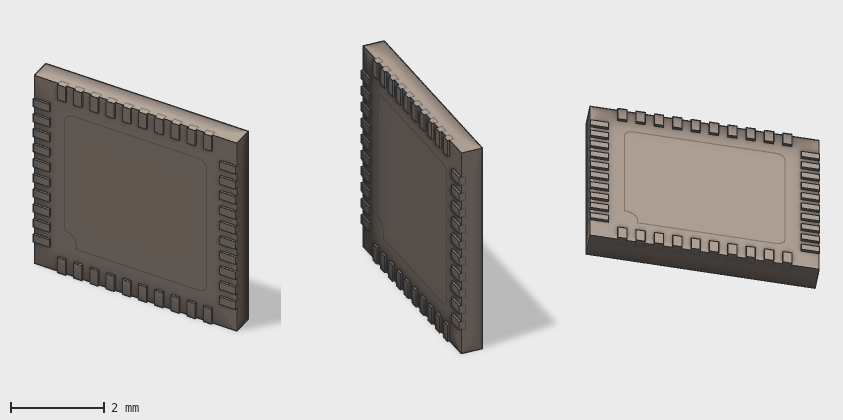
import cadquery as cq

side = 5.0
overall_thickness = 0.55
standoff = 0.05
half_side = side / 2

leads_per_side = 10
lead_pitch = 0.4
lead_width = 0.2
lead_length = 0.4
lead_thickness = 0.15

pad_side = 3.5
pad_corner_radius = 0.2
pad_thickness = 0.1
notch_radius = 0.29
notch_center_rise = 0.1
half_pad = pad_side / 2


def make_body():
    """Plate whose contact face stands back from the lead faces."""
    return cq.Workplane("XY").box(
        side, overall_thickness - standoff, side, centered=(True, False, True)
    ).translate((0, standoff, 0))


def make_lead_row():
    """Row of leads along the -Z side."""
    first_lead_x = -(leads_per_side - 1) * lead_pitch / 2
    centers = [
        (first_lead_x + index * lead_pitch, 0, -half_side + lead_length / 2)
        for index in range(leads_per_side)
    ]
    lead = cq.Workplane("XY").box(
        lead_width, lead_thickness, lead_length, centered=(True, False, True)
    )
    row = cq.Workplane("XY")
    for center in centers:
        row = row.add(lead.translate(center))
    return row.combine()


def make_thermal_pad():
    """Rounded square, flush with the contact face, with the pin-1 notch cut from one corner."""
    pad = (
        cq.Workplane("XY")
        .box(pad_side, pad_thickness, pad_side, centered=(True, False, True))
        .edges("|Y")
        .edges("not(<X and <Z)")
        .fillet(pad_corner_radius)
    )
    notch = (
        cq.Workplane("XZ")
        .center(-half_pad, -half_pad + notch_center_rise)
        .circle(notch_radius)
        .extrude(-pad_thickness)
    )
    return pad.cut(notch).translate((0, standoff, 0))


result = make_body()
for quarter_turn in range(4):
    row = make_lead_row().rotate((0, 0, 0), (0, 1, 0), 90 * quarter_turn)
    result = result.cut(row, clean=False).union(row, clean=False)
result = result.union(make_thermal_pad(), clean=False)